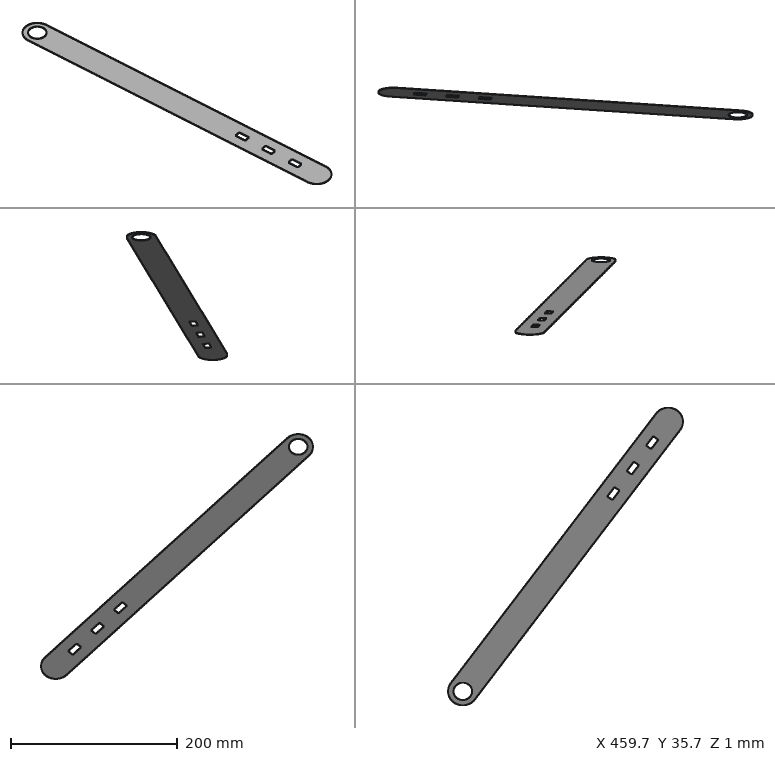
import cadquery as cq

strap_length = 459.7
strap_width = 35.7
strap_thickness = 1.0

eye_diameter = 22.2
eye_x = -(strap_length - strap_width) / 2

slot_length = 14.7
slot_width = 7.5
slot_corner_radius = 1.0
slot_count = 3
slot_pitch = 40.0
eye_to_first_slot = 311.0


def strap_blank():
    """Plate with fully rounded ends."""
    return cq.Workplane("XY").slot2D(strap_length, strap_width).extrude(strap_thickness)


def eye_cutter():
    """Cylinder that opens the eye through the strap."""
    return cq.Workplane("XY").center(eye_x, 0).circle(eye_diameter / 2).extrude(strap_thickness)


def slot_cutters():
    """Evenly spaced blocks with rounded corners, one per slot."""
    first_slot_x = eye_x + eye_to_first_slot
    slot_centres = [(first_slot_x + i * slot_pitch, 0) for i in range(slot_count)]
    return (
        cq.Workplane("XY")
        .pushPoints(slot_centres)
        .rect(slot_length, slot_width)
        .extrude(strap_thickness)
        .edges("|Z")
        .fillet(slot_corner_radius)
    )


result = strap_blank().cut(eye_cutter()).cut(slot_cutters())